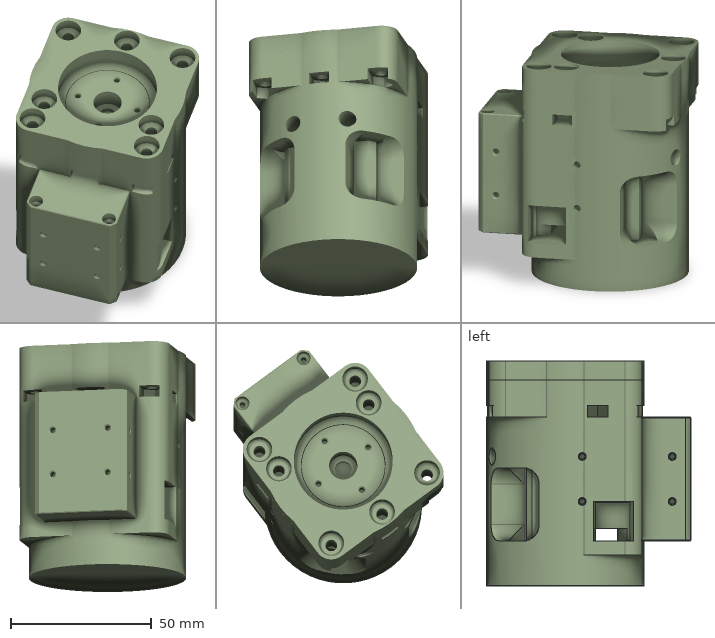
import cadquery as cq
import math

total_height = 80.0
barrel_radius = 28.0
square_half = 27.2
square_corner_radius = 6.0
cap_thickness = 6.8
cap_bottom = total_height - cap_thickness
square_bottom = 10.9

small_hole_radius = 1.0
small_hole_depth = 4.0
countersink_depth = 0.4

servo_half_width = 16.8
servo_bottom = 16.0
servo_top = 60.0
servo_front = -44.6
servo_length = 58.5
servo_back = servo_front + servo_length
servo_corner_chamfer = 2.0
servo_edge_chamfer = 0.3
servo_mid_z = (servo_bottom + servo_top) / 2
servo_hole_half_rise = 8.0
servo_front_hole_x = 10.0
housing_side_hole_y = -6.0
servo_side_hole_rows = [-38.0, housing_side_hole_y]
servo_hole_levels = [servo_mid_z - servo_hole_half_rise, servo_mid_z + servo_hole_half_rise]
case_screw_x = 13.6
case_screw_y = -41.6
case_screw_head_radius = 2.5
case_screw_head_depth = 3.2
connector_ceiling = 20.3
connector_mouth_front = -21.9
connector_inner_front = -18.6
connector_back = -10.4

horn_radius = 14.8
horn_top = 72.0
horn_bore_radius = 5.0
horn_bore_depth = 6.8
horn_screw_radius = 2.9
horn_screw_depth = 1.6
horn_tap_circle = 11.0
bearing_inner_radius = 15.0
bearing_outer_radius = 16.6
bearing_bottom = 64.0
mouth_radius = 17.6
undercut_radius = 19.2

corner_screw_offset = 21.3
ring_screw_circle = 23.0
screw_radius = 2.1
screw_head_radius = 4.6
screw_head_depth = 4.0
nut_width = 7.3
nut_slot_height = 4.1
nut_slot_top = servo_top + nut_slot_height
slot_reach = 16.0

view_slot_half_width = 5.2
window_back = -10.1
window_front = -24.3
window_height = 14.0
inner_window_back = -10.7
inner_window_front = -23.0
inner_window_height = 13.6
window_step_x = 18.2
side_hole_radius = 1.3
rear_hole_x = 10.0
rear_hole_radius = 3.0
cable_opening_edge = 9.4
cable_opening_top = 41.9
cable_opening_fillet = 5.8
cable_pocket_end = 20.3


def box(x_range, y_range, z_range):
    """Axis-aligned box from its limits along X, Y and Z."""
    sizes = [high - low for low, high in (x_range, y_range, z_range)]
    corner = (x_range[0], y_range[0], z_range[0])
    return cq.Workplane("XY").box(*sizes, centered=False).translate(corner)


def cylinder(radius, bottom, top, x=0.0, y=0.0):
    """Upright cylinder between two levels."""
    return cq.Workplane("XY", origin=(x, y, bottom)).circle(radius).extrude(top - bottom)


def threaded_hole(mouth, direction):
    """Blind hole with a small countersink, from its mouth into the body."""
    start = cq.Vector(*mouth)
    inward = cq.Vector(*direction)
    hole = cq.Solid.makeCylinder(small_hole_radius, small_hole_depth, start, inward)
    wide = small_hole_radius + countersink_depth
    countersink = cq.Solid.makeCone(wide, small_hole_radius, countersink_depth, start, inward)
    return cq.Workplane(obj=hole.fuse(countersink))


def rounded_square(bottom, top):
    side = 2 * square_half
    block = cq.Workplane("XY", origin=(0, 0, bottom)).rect(side, side).extrude(top - bottom)
    return block.edges("|Z").fillet(square_corner_radius)


def both_sides(shape):
    """A shape together with its mirror image across the plane x = 0."""
    return shape.union(shape.mirror("YZ"))


ring_screw_x = ring_screw_circle * math.cos(math.radians(30))
ring_screw_y = -ring_screw_circle * math.sin(math.radians(30))
cap_screws = [
    (-corner_screw_offset, -corner_screw_offset, -90),
    (corner_screw_offset, -corner_screw_offset, -90),
    (-corner_screw_offset, corner_screw_offset, 90),
    (corner_screw_offset, corner_screw_offset, 90),
    (-ring_screw_x, ring_screw_y, 180),
    (ring_screw_x, ring_screw_y, 0),
    (0, ring_screw_circle, 90),
]
screw_points = [(x, y) for x, y, opening in cap_screws]


def servo_outline():
    """Servo case without its holes; also the shape of the cavity that holds it."""
    case = box(
        (-servo_half_width, servo_half_width),
        (servo_front, servo_back),
        (servo_bottom, servo_top),
    )
    return case.edges("|Z").chamfer(servo_corner_chamfer)


def connector_recess():
    """Passage across the underside, splayed where it reaches the two side faces."""
    splay = connector_inner_front - connector_mouth_front
    inner = servo_half_width - splay
    outline = [
        (-servo_half_width, connector_back),
        (-servo_half_width, connector_mouth_front),
        (-inner, connector_inner_front),
        (inner, connector_inner_front),
        (servo_half_width, connector_mouth_front),
        (servo_half_width, connector_back),
    ]
    height = connector_ceiling - servo_bottom
    return cq.Workplane("XY", origin=(0, 0, servo_bottom)).polyline(outline).close().extrude(height)


def build_servo():
    servo = servo_outline().faces("<Z or >Z").chamfer(servo_edge_chamfer)
    servo = servo.cut(connector_recess())

    for z in servo_hole_levels:
        for x in (-servo_front_hole_x, servo_front_hole_x):
            servo = servo.cut(threaded_hole((x, servo_front, z), (0, 1, 0)))
        for y in servo_side_hole_rows:
            servo = servo.cut(threaded_hole((-servo_half_width, y, z), (1, 0, 0)))
            servo = servo.cut(threaded_hole((servo_half_width, y, z), (-1, 0, 0)))

    for x in (-case_screw_x, case_screw_x):
        head = cylinder(case_screw_head_radius, servo_top - case_screw_head_depth, servo_top, x, case_screw_y)
        seat = (x, case_screw_y, servo_top - case_screw_head_depth)
        servo = servo.cut(head).cut(threaded_hole(seat, (0, 0, -1)))
    return servo


def build_horn():
    horn = cylinder(horn_radius, servo_top, horn_top)
    bore_floor = horn_top - horn_bore_depth
    horn = horn.cut(cylinder(horn_bore_radius, bore_floor, horn_top))
    horn = horn.cut(cylinder(horn_screw_radius, bore_floor - horn_screw_depth, bore_floor))
    for quarter in range(4):
        angle = math.radians(90 * quarter)
        tap = (horn_tap_circle * math.cos(angle), horn_tap_circle * math.sin(angle), horn_top)
        horn = horn.cut(threaded_hole(tap, (0, 0, -1)))
    return horn


def build_bearing():
    ring = cylinder(bearing_outer_radius, bearing_bottom, horn_top)
    return ring.cut(cylinder(bearing_inner_radius, bearing_bottom, horn_top))


def build_cap():
    cap = rounded_square(cap_bottom, total_height).union(cylinder(barrel_radius, cap_bottom, total_height))
    cap = cap.cut(cylinder(mouth_radius, cap_bottom, total_height))
    for x, y in screw_points:
        cap = cap.cut(cylinder(screw_radius, cap_bottom, total_height, x, y))
        cap = cap.cut(cylinder(screw_head_radius, total_height - screw_head_depth, total_height, x, y))
    return cap


def housing_shell():
    """Round barrel, squared all round at the top and only on its front half lower down."""
    barrel = cylinder(barrel_radius, 0, cap_bottom)
    upper_square = rounded_square(servo_top, cap_bottom)
    front_half = box(
        (-square_half, square_half),
        (-square_half, 0),
        (square_bottom, servo_top),
    )
    lower_square = rounded_square(square_bottom, servo_top).intersect(front_half)
    return barrel.union(upper_square).union(lower_square)


def horn_bore():
    """Bore for the horn and bearing, widened above them just below the cap."""
    half_section = [
        (0, servo_top),
        (bearing_outer_radius, servo_top),
        (bearing_outer_radius, horn_top),
        (undercut_radius, horn_top),
        (undercut_radius, cap_bottom),
        (0, cap_bottom),
    ]
    return cq.Workplane("XZ").polyline(half_section).close().revolve(360, (0, 0, 0), (0, 1, 0))


def nut_slot(x, y, opening):
    """Hexagonal nut seat, one corner pointing inward, with a slot leading outward."""
    level = cq.Workplane("XY", origin=(0, 0, servo_top))
    seat = level.polygon(6, nut_width / math.cos(math.radians(30))).extrude(nut_slot_height)
    lead = level.center(slot_reach / 2, 0).rect(slot_reach, nut_width).extrude(nut_slot_height)
    slot = seat.union(lead)
    return slot.rotate((0, 0, 0), (0, 0, 1), opening).translate((x, y, 0))


def cable_opening():
    """Rear corner opening: the overlap of two rounded slots, plus a pocket behind the servo."""
    reach = 2 * barrel_radius
    height = cable_opening_top - servo_bottom
    mid_z = (cable_opening_top + servo_bottom) / 2
    centre = cable_opening_edge + reach / 2
    along_x = cq.Workplane("YZ").center(centre, mid_z).rect(reach, height).extrude(-reach)
    along_x = along_x.edges("|X").fillet(cable_opening_fillet)
    along_y = cq.Workplane("XZ").center(-centre, mid_z).rect(reach, height).extrude(-reach)
    along_y = along_y.edges("|Y").fillet(cable_opening_fillet)
    slot = along_x.intersect(along_y)

    depth = cable_pocket_end - cable_opening_edge
    pocket = cq.Workplane("XY", origin=(0, 0, servo_bottom))
    pocket = pocket.center(-cable_opening_edge - depth / 2, cable_opening_edge + depth / 2)
    pocket = pocket.rect(depth, depth).extrude(height).edges("|Z").edges(">X and >Y or <X and <Y")
    return slot.union(pocket.fillet(cable_opening_fillet))


def side_window():
    """Opening in the -X wall, a little smaller next to the servo."""
    outer = box(
        (-barrel_radius, -window_step_x),
        (window_front, window_back),
        (servo_bottom, servo_bottom + window_height),
    )
    inner = box(
        (-window_step_x, -servo_half_width),
        (inner_window_front, inner_window_back),
        (servo_bottom, servo_bottom + inner_window_height),
    )
    return outer.union(inner)


def build_housing():
    housing = housing_shell().cut(servo_outline()).cut(horn_bore())

    for x, y, opening in cap_screws:
        housing = housing.cut(nut_slot(x, y, opening))
        housing = housing.cut(cylinder(screw_radius, servo_top, cap_bottom, x, y))

    view_slot = box(
        (-view_slot_half_width, view_slot_half_width),
        (-barrel_radius, 0),
        (servo_top, nut_slot_top),
    )
    housing = housing.cut(view_slot).cut(both_sides(side_window())).cut(both_sides(cable_opening()))

    side_holes = (
        cq.Workplane("YZ")
        .pushPoints([(housing_side_hole_y, z) for z in servo_hole_levels])
        .circle(side_hole_radius)
        .extrude(barrel_radius, both=True)
    )
    rear_holes = (
        cq.Workplane("XZ")
        .pushPoints([(x, servo_hole_levels[1]) for x in (-rear_hole_x, rear_hole_x)])
        .circle(rear_hole_radius)
        .extrude(-barrel_radius)
    )
    return housing.cut(side_holes).cut(rear_holes)


housing = build_housing()
cap = build_cap()
servo = build_servo()
horn = build_horn()
bearing = build_bearing()

result = cq.Compound.makeCompound(
    [housing.val(), cap.val(), servo.val(), horn.val(), bearing.val()]
)